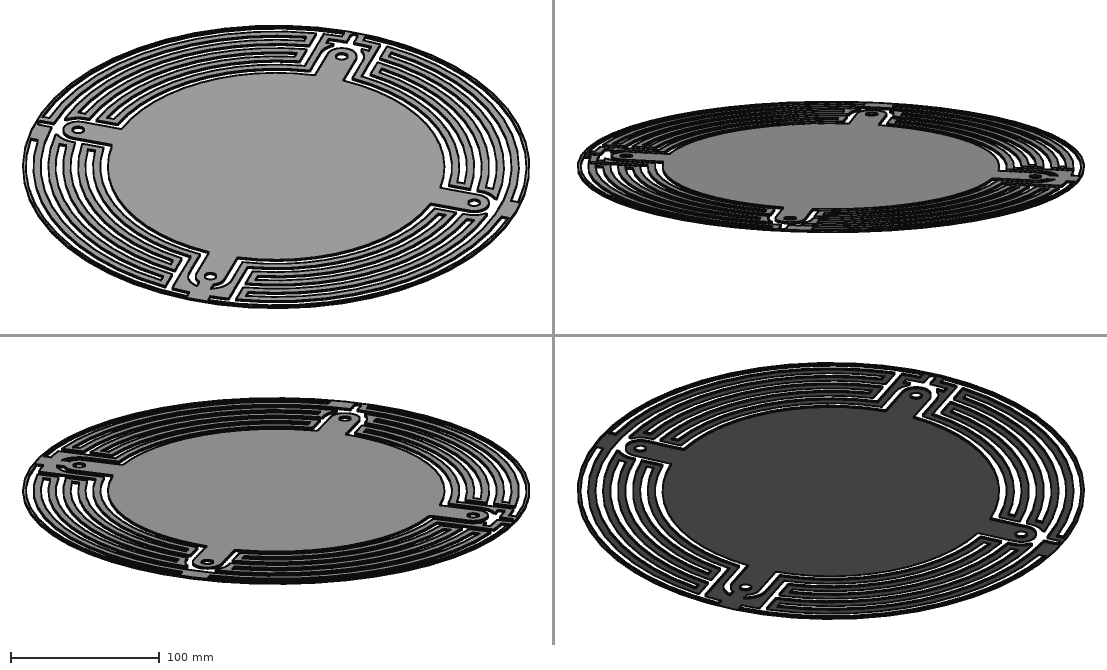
import cadquery as cq
import math

outer_radius = 170.0
thickness = 1.27

disc_radius = 113.0
gap = 5.0
bar = 5.0
pitch = gap + bar

tab_half_width = 10.0
tab_hole_reach = 140.0
tab_hole_diameter = 8.0
tab_root_fillet = 1.0
channel_half_width = tab_half_width + gap

wall_outer_x = channel_half_width + bar
fold_channel_outer_x = wall_outer_x + gap
fold_end_x = fold_channel_outer_x + bar
fold_end_y = channel_half_width + bar

slit_half_width = gap / 2
slit_tip_radius = 168.5
slit_side_end = slit_half_width + bar

bridge_half_width = 5.0

RIGHT, TOP, LEFT, BOTTOM = 0, 90, 180, 270


def gap_radius(index):
    """Inner radius of a circular gap, counted outward from the disc."""
    return disc_radius + index * pitch


cavity_inner_radius = gap_radius(4)
cavity_outer_radius = cavity_inner_radius + gap
rim_gap_outer_radius = gap_radius(5) + gap


def disc(radius, x=0.0):
    return cq.Workplane("XY").center(x, 0).circle(radius).extrude(thickness)


def block(x_min, x_max, y_min, y_max):
    size_x = x_max - x_min
    size_y = y_max - y_min
    return cq.Workplane("XY").box(size_x, size_y, thickness, centered=False).translate((x_min, y_min, 0))


def ring(inner_radius, ring_outer_radius):
    return disc(ring_outer_radius).cut(disc(inner_radius))


def turn(shape, angle):
    return shape.rotate((0, 0, 0), (0, 0, 1), angle)


def arc_gap(index, side_x, side_y, start_x, start_y):
    """Part of a circular gap inside one quadrant, beyond start_x and start_y."""
    x_min, x_max = sorted((side_x * start_x, side_x * outer_radius))
    y_min, y_max = sorted((side_y * start_y, side_y * outer_radius))
    inner_radius = gap_radius(index)
    return ring(inner_radius, inner_radius + gap).intersect(block(x_min, x_max, y_min, y_max))


def quadrant_gaps(side_x, side_y, rim_gap_start_y):
    """The six circular gaps of one quadrant, with the ends that fold the bars into a meander."""
    starts = [
        (tab_half_width, tab_half_width),
        (wall_outer_x, fold_end_y),
        (fold_end_x, tab_half_width),
        (wall_outer_x, fold_end_y),
        (fold_end_x, 0.0),
        (slit_side_end, rim_gap_start_y),
    ]
    return [arc_gap(i, side_x, side_y, *start) for i, start in enumerate(starts)]


def fold_channel(side_x, side_y):
    """Straight vertical channel that joins the gaps beside the top or bottom tab."""
    x_min, x_max = sorted((side_x * wall_outer_x, side_x * fold_channel_outer_x))
    y_min, y_max = sorted((0.0, side_y * outer_radius))
    return ring(gap_radius(1), rim_gap_outer_radius).intersect(block(x_min, x_max, y_min, y_max))


def tongue(half_width):
    """Round-ended strip from the centre along +X, its end centred on the tab hole."""
    return block(0, tab_hole_reach, -half_width, half_width).union(disc(half_width, tab_hole_reach))


def tab_channel():
    """Gap of even width around the tab on +X."""
    return tongue(channel_half_width).cut(tongue(tab_half_width)).cut(disc(disc_radius))


def tab_cavity():
    """Open space from the tip of the tab on +X out to the next bar, trimming the bar tips."""
    strip = block(tab_hole_reach, outer_radius, -tab_half_width, tab_half_width)
    return strip.intersect(disc(cavity_outer_radius)).cut(tongue(tab_half_width))


def bridged_tab_channel():
    """Tab channel on +X, interrupted at the tab tip by the bridge."""
    bridge = block(tab_hole_reach, outer_radius, -bridge_half_width, bridge_half_width)
    return tab_channel().cut(bridge)


def top_cavity_wings():
    """Sideways extension of the top cavity, reaching the vertical walls."""
    strip = block(-channel_half_width, channel_half_width, 0, outer_radius)
    return ring(cavity_inner_radius, cavity_outer_radius).intersect(strip)


def rim_slit():
    """Round-ended radial slit on +X, from the cavity almost to the outer edge."""
    tip_center = slit_tip_radius - slit_half_width
    strip = block(cavity_inner_radius, tip_center, -slit_half_width, slit_half_width)
    return strip.union(disc(slit_half_width, tip_center))


def is_tab_root(edge):
    """True for the upright edges where the tab sides meet the disc."""
    center = edge.Center()
    return math.isclose(math.hypot(center.x, center.y), disc_radius, abs_tol=0.01)


cutters = []
cutters += quadrant_gaps(1, 1, tab_half_width)
cutters += quadrant_gaps(1, -1, tab_half_width)
cutters += quadrant_gaps(-1, 1, slit_side_end)
cutters += quadrant_gaps(-1, -1, fold_end_y)

for side_x in (1, -1):
    for side_y in (1, -1):
        cutters.append(fold_channel(side_x, side_y))

for angle in (RIGHT, TOP, LEFT):
    cutters.append(turn(tab_channel(), angle))
    cutters.append(turn(tab_cavity(), angle))
cutters.append(turn(bridged_tab_channel(), BOTTOM))

cutters.append(top_cavity_wings())
for angle in (TOP, LEFT):
    cutters.append(turn(rim_slit(), angle))

for angle in (RIGHT, TOP, LEFT, BOTTOM):
    cutters.append(turn(disc(tab_hole_diameter / 2, tab_hole_reach), angle))

plate = disc(outer_radius)
for cutter in cutters:
    plate = plate.cut(cutter)

result = plate.edges("|Z").filter(is_tab_root).fillet(tab_root_fillet)